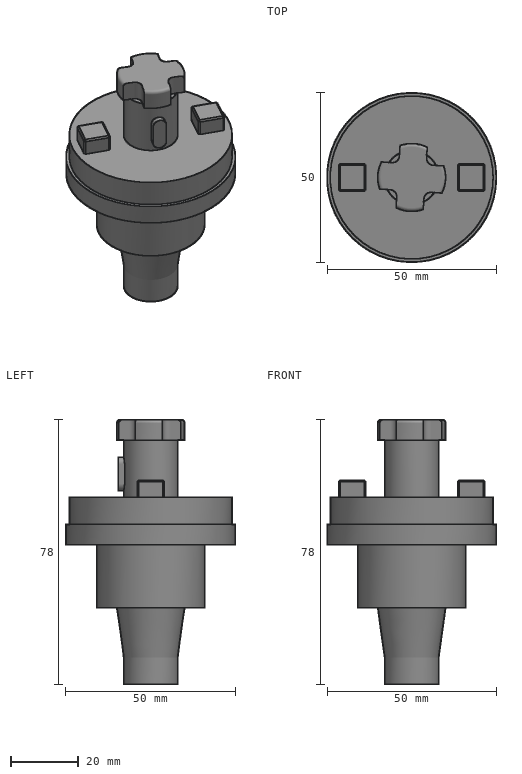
import cadquery as cq

total_height = 77.95
shaft_diameter = 16.0
head_diameter = 20.0
body_diameter = 32.0
upper_flange_diameter = 48.0
lower_flange_diameter = 50.0

pin_height = 7.95
cone_height = 14.6
body_height = 18.55
lower_flange_height = 6.0
upper_flange_height = 8.0
head_height = 6.0

tab_width = 8.0
head_turn = -3.7
notch_radius = 2.0
head_edge_radius = 1.0

block_size = 8.0
block_height = 5.0
block_offset = 17.55
block_chamfer = 0.5

key_length = 10.0
key_width = 4.05
key_reach = 9.6
key_gap = 1.9

body_bottom = pin_height + cone_height
flange_bottom = body_bottom + body_height
upper_flange_bottom = flange_bottom + lower_flange_height
flange_top = upper_flange_bottom + upper_flange_height
head_bottom = total_height - head_height


def cylinder(diameter, bottom, height):
    return cq.Workplane("XY").workplane(offset=bottom).circle(diameter / 2).extrude(height)


def make_turned_body():
    cone = (
        cq.Workplane("XY")
        .workplane(offset=pin_height)
        .circle(shaft_diameter / 2)
        .workplane(offset=cone_height)
        .circle(head_diameter / 2)
        .loft(ruled=True)
    )
    return (
        cylinder(shaft_diameter, 0, pin_height)
        .union(cone)
        .union(cylinder(body_diameter, body_bottom, body_height))
        .union(cylinder(lower_flange_diameter, flange_bottom, lower_flange_height))
        .union(cylinder(upper_flange_diameter, upper_flange_bottom, upper_flange_height))
        .union(cylinder(shaft_diameter, flange_top, head_bottom - flange_top))
    )


def make_head():
    """Round-edged disc with a rounded-corner notch between each pair of tabs."""
    head = cylinder(head_diameter, head_bottom, head_height).faces(">Z").edges().fillet(head_edge_radius)
    notch_size = head_diameter / 2
    notch_center = (tab_width + notch_size) / 2
    notch = (
        cq.Workplane("XY")
        .box(notch_size, notch_size, head_height, centered=(True, True, False))
        .edges("|Z")
        .fillet(notch_radius)
        .translate((notch_center, notch_center, head_bottom))
    )
    for quarter in range(4):
        head = head.cut(notch.rotate((0, 0, 0), (0, 0, 1), head_turn + 90 * quarter))
    return head


def make_drive_block(side):
    return (
        cq.Workplane("XY")
        .box(block_size, block_size, block_height, centered=(True, True, False))
        .edges("|Z or >Z")
        .chamfer(block_chamfer)
        .translate((side * block_offset, 0, flange_top))
    )


def make_key():
    """Upright key starting at the axis, so that it merges with the shaft."""
    key_center = flange_top + key_gap + key_length / 2
    return (
        cq.Workplane("XZ")
        .center(0, key_center)
        .slot2D(key_length, key_width, 90)
        .extrude(-key_reach)
    )


result = make_turned_body().union(make_head()).union(make_key())
for side in (-1, 1):
    result = result.union(make_drive_block(side))